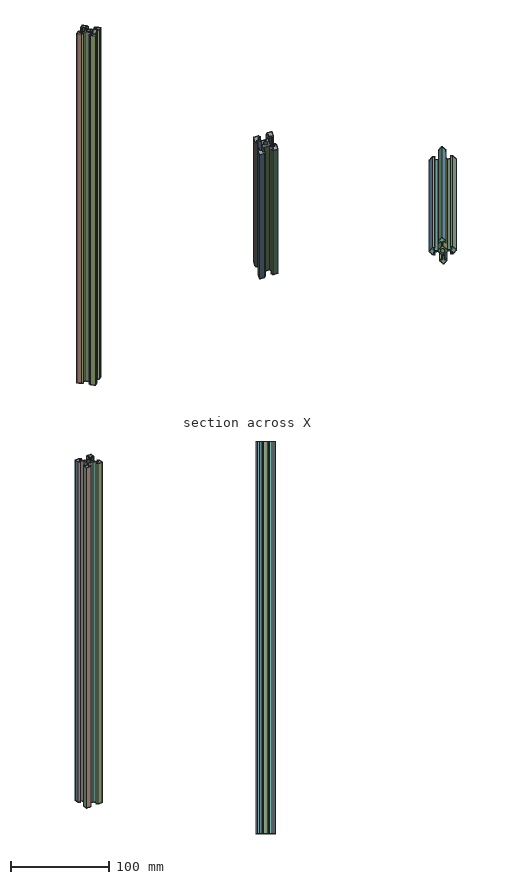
import cadquery as cq

length = 400.0
side = 20.0
bore_diameter = 4.5
hub_width = 7.5
slot_opening = 6.0
slot_width = 11.0
lip_thickness = 1.8
lip_chamfer = 1.5
web_offset = 1.0

half_side = side / 2
half_hub = hub_width / 2
half_opening = slot_opening / 2
half_slot = slot_width / 2
lip_inside = half_side - lip_thickness


def slot_cutter():
    """T-slot in the +Y face, running the full length."""
    right_side = [
        (half_opening + lip_chamfer, half_side),
        (half_opening, half_side - lip_chamfer),
        (half_opening, lip_inside),
        (half_slot, lip_inside),
        (half_slot, half_slot + web_offset),
        (half_hub - web_offset, half_hub),
    ]
    left_side = [(-x, y) for x, y in reversed(right_side)]
    return cq.Workplane("XY").polyline(right_side + left_side).close().extrude(length)


result = cq.Workplane("XY").rect(side, side).extrude(length)
for quarter_turn in range(4):
    slot = slot_cutter().rotate((0, 0, 0), (0, 0, 1), 90 * quarter_turn)
    result = result.cut(slot)

bore = cq.Workplane("XY").circle(bore_diameter / 2).extrude(length)
result = result.cut(bore)